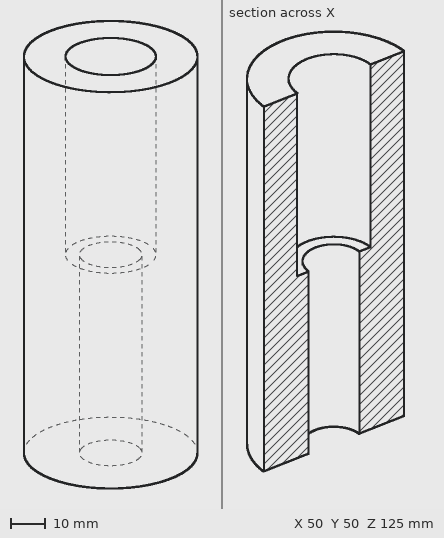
import cadquery as cq

length = 125.0
outer_diameter = 50.0

bore_diameter = 18.0
counterbore_diameter = 26.0
counterbore_depth = length / 2

sleeve = cq.Workplane("XY").circle(outer_diameter / 2).extrude(length)

result = (
    sleeve.faces(">Z")
    .workplane()
    .cboreHole(bore_diameter, counterbore_diameter, counterbore_depth)
)